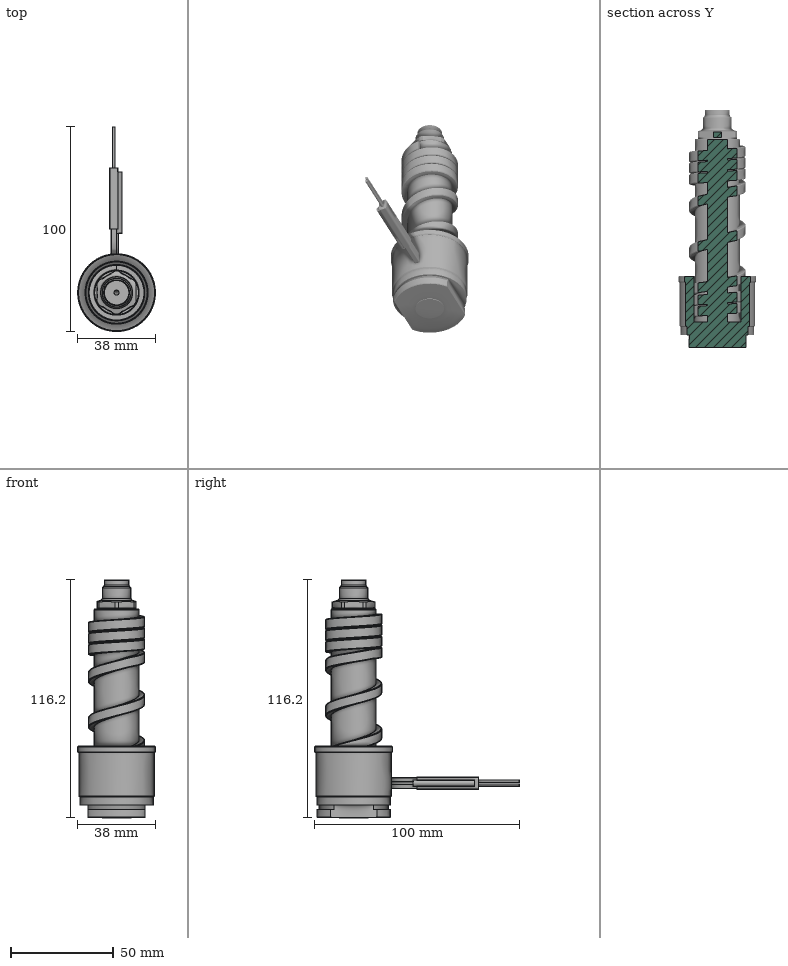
import cadquery as cq
import math

TOTAL_HEIGHT = 116.2
PAD_HEIGHT = 0.3
NUT_TOP_Z = 4.25
GROOVE_TOP_Z = 6.3
COLLAR_TOP_Z = 10.3
FLANGE_BOTTOM_Z = 32.0
CUP_TOP_Z = 35.2
TUBE_TOP_Z = 102.05
HEX_BOTTOM_Z = 102.75
SPIGOT_BOTTOM_Z = 107.2
SPIGOT_TOP_Z = 113.1

PAD_RADIUS = 7.0
NUT_RADIUS = 18.0
NUT_HALF_FLATS = 14.0
GROOVE_RADIUS = 17.0
COLLAR_RADIUS = 18.0
CUP_RADIUS = 18.5
FLANGE_RADIUS = 19.0
BORE_RADIUS = 15.0
BORE_FLOOR_Z = 13.0
CUP_EDGE = 0.4
NUT_EDGE = 0.3

TUBE_RADIUS = 11.0
TUBE_EDGE = 0.3
HEX_ACROSS_FLATS = 19.0
HEX_TURNED_RADIUS = 10.5
HEX_NECK_RADIUS = 9.5
HEX_RIM_Z = 105.5
SPIGOT_RADIUS = 7.0
SPIGOT_FLARE_RADIUS = 7.8
SPIGOT_FLARE_Z = 106.4
SPIGOT_EDGE = 0.6
TIP_RADIUS = 6.0
TIP_FLARE = 0.3
TIP_FLARE_HEIGHT = 0.7
CENTRE_HOLE_RADIUS = 1.2
CENTRE_HOLE_DEPTH = 2.5

COIL_RADIUS = 13.75
COIL_HEIGHT = 5.0
COIL_EDGE = 0.35
COIL_SINK = 0.3
COIL_END_MID_Z = 97.3
TIGHT_PITCH = 5.45
OPEN_PITCH = 22.2
EASED_PITCH = (TIGHT_PITCH + OPEN_PITCH) / 2
COIL_END_ANGLE = 90.0
TOP_TIGHT_ANGLE = 43.0
OPEN_TOP_ANGLE = -64.0
OPEN_BOTTOM_ANGLE = -45.0
BOTTOM_TIGHT_ANGLE = -155.0
TOP_TIGHT_WHOLE_TURNS = 3
OPEN_WHOLE_TURNS = 2
BOTTOM_TIGHT_WHOLE_TURNS = 3

LEAD_Z = 17.05
LEAD_X = -1.35
LEAD_START_Y = 16.5
LEAD_WIDTH = 2.7
LEAD_HEIGHT = 5.4
LEAD_EDGE = 0.5
SLEEVE_START_Y = 31.0
SLEEVE_END_Y = 61.0
SLEEVE_WIDTH = 4.0
SLEEVE_HEIGHT = 5.9
SLEEVE_EDGE = 0.9
WIRE_END_Y = 81.0
WIRE_DIAMETER = 1.3
WIRE_SPACING = 1.9
WIRE_GRIP = 2.0
SENSOR_X = 1.25
SENSOR_SLEEVE_DIAMETER = 3.0
SENSOR_SLEEVE_START_Y = 29.0
SENSOR_SLEEVE_END_Y = 59.0
SENSOR_LEAD_X = 0.25
SENSOR_LEAD_DIAMETER = 1.5


def turned(points):
    """Solid of revolution about Z from an outline of (radius, z) points."""
    return cq.Workplane("XZ").polyline(points).close().revolve(360, (0, 0, 0), (0, 1, 0))


def disc(radius, bottom, top):
    return cq.Workplane("XY").workplane(offset=bottom).circle(radius).extrude(top - bottom)


def make_nut():
    """Grooved bottom nut with two wrench flats facing +X and -X."""
    nut = disc(NUT_RADIUS, PAD_HEIGHT, NUT_TOP_Z).faces("<Z").chamfer(NUT_EDGE)
    nut = nut.union(disc(GROOVE_RADIUS, NUT_TOP_Z, GROOVE_TOP_Z))
    flats = cq.Workplane("XY").box(2 * NUT_HALF_FLATS, 2 * NUT_RADIUS, 2 * GROOVE_TOP_Z)
    return nut.intersect(flats).union(disc(PAD_RADIUS, 0, PAD_HEIGHT))


def make_cup():
    """Flanged cup, open at the top, standing on the nut."""
    step = CUP_RADIUS - COLLAR_RADIUS
    return turned([
        (0, GROOVE_TOP_Z),
        (COLLAR_RADIUS, GROOVE_TOP_Z),
        (COLLAR_RADIUS, COLLAR_TOP_Z),
        (CUP_RADIUS, COLLAR_TOP_Z + step),
        (CUP_RADIUS, FLANGE_BOTTOM_Z),
        (FLANGE_RADIUS - CUP_EDGE, FLANGE_BOTTOM_Z),
        (FLANGE_RADIUS, FLANGE_BOTTOM_Z + CUP_EDGE),
        (FLANGE_RADIUS, CUP_TOP_Z - CUP_EDGE),
        (FLANGE_RADIUS - CUP_EDGE, CUP_TOP_Z),
        (BORE_RADIUS + CUP_EDGE, CUP_TOP_Z),
        (BORE_RADIUS, CUP_TOP_Z - CUP_EDGE),
        (BORE_RADIUS, BORE_FLOOR_Z),
        (0, BORE_FLOOR_Z),
    ])


def make_tube():
    tube = disc(TUBE_RADIUS, BORE_FLOOR_Z, TUBE_TOP_Z).faces(">Z").chamfer(TUBE_EDGE)
    return tube.union(disc(HEX_NECK_RADIUS, TUBE_TOP_Z, HEX_BOTTOM_Z))


def make_hexagon():
    """Hexagon with its corners on the Y axis, turned to a cone on top and a cylinder round the corners."""
    across_corners = HEX_ACROSS_FLATS / math.cos(math.pi / 6)
    prism = (
        cq.Workplane("XY")
        .workplane(offset=HEX_BOTTOM_Z)
        .transformed(rotate=(0, 0, 90))
        .polygon(6, across_corners)
        .extrude(SPIGOT_FLARE_Z - HEX_BOTTOM_Z)
    )
    blank = turned([
        (0, HEX_BOTTOM_Z),
        (HEX_TURNED_RADIUS, HEX_BOTTOM_Z),
        (HEX_TURNED_RADIUS, HEX_RIM_Z),
        (SPIGOT_FLARE_RADIUS, SPIGOT_FLARE_Z),
        (0, SPIGOT_FLARE_Z),
    ])
    return prism.intersect(blank)


def make_tip():
    """Stepped spigot above the hexagon, with a conical centre hole in its end."""
    return turned([
        (0, SPIGOT_FLARE_Z),
        (SPIGOT_FLARE_RADIUS, SPIGOT_FLARE_Z),
        (SPIGOT_RADIUS, SPIGOT_BOTTOM_Z),
        (SPIGOT_RADIUS, SPIGOT_TOP_Z - SPIGOT_EDGE),
        (TIP_RADIUS + TIP_FLARE, SPIGOT_TOP_Z),
        (TIP_RADIUS, SPIGOT_TOP_Z + TIP_FLARE_HEIGHT),
        (TIP_RADIUS, TOTAL_HEIGHT),
        (CENTRE_HOLE_RADIUS, TOTAL_HEIGHT),
        (0, TOTAL_HEIGHT - CENTRE_HOLE_DEPTH),
    ])


def coil_section():
    """Radial cross-section of the coil, its two outer edges chamfered."""
    inner = TUBE_RADIUS - COIL_SINK
    half = COIL_HEIGHT / 2
    return cq.Workplane("XZ").polyline([
        (inner, -half),
        (COIL_RADIUS - COIL_EDGE, -half),
        (COIL_RADIUS, -half + COIL_EDGE),
        (COIL_RADIUS, half - COIL_EDGE),
        (COIL_RADIUS - COIL_EDGE, half),
        (inner, half),
    ]).close()


def coil_stretch(start_angle, start_z, pitch, turns):
    """Right-handed stretch of coil rising from the given angle (degrees) and mid-height."""
    path = cq.Wire.makeHelix(pitch, pitch * turns, COIL_RADIUS)
    stretch = coil_section().sweep(cq.Workplane(path), isFrenet=True)
    return stretch.rotate((0, 0, 0), (0, 0, 1), start_angle).translate((0, 0, start_z))


def make_coil():
    """Coil stretches laid end to end downwards from the top end of the coil."""
    top_tight = TOP_TIGHT_WHOLE_TURNS + (COIL_END_ANGLE - TOP_TIGHT_ANGLE) / 360
    eased_top = (TOP_TIGHT_ANGLE - OPEN_TOP_ANGLE) / 360
    open_middle = OPEN_WHOLE_TURNS + (OPEN_TOP_ANGLE - OPEN_BOTTOM_ANGLE) / 360
    eased_bottom = (OPEN_BOTTOM_ANGLE - BOTTOM_TIGHT_ANGLE) / 360
    bottom_tight = BOTTOM_TIGHT_WHOLE_TURNS + (BOTTOM_TIGHT_ANGLE - COIL_END_ANGLE) / 360
    stretches = [
        (TIGHT_PITCH, top_tight),
        (EASED_PITCH, eased_top),
        (OPEN_PITCH, open_middle),
        (EASED_PITCH, eased_bottom),
        (TIGHT_PITCH, bottom_tight),
    ]
    angle = COIL_END_ANGLE
    z = COIL_END_MID_Z
    pieces = []
    for pitch, turns in stretches:
        angle -= 360 * turns
        z -= pitch * turns
        pieces.append(coil_stretch(angle, z, pitch, turns))
    return pieces


def bar(x, width, height, edge, start_y, end_y):
    """Flat lead or sleeve running along Y, its long edges rounded."""
    length = end_y - start_y
    blank = cq.Workplane("XY").box(width, length, height).edges("|Y").fillet(edge)
    return blank.translate((x, start_y + length / 2, LEAD_Z))


def rod(x, z, diameter, start_y, end_y):
    """Round lead or sleeve running along Y."""
    blank = cq.Workplane("XZ").circle(diameter / 2).extrude(start_y - end_y)
    return blank.translate((x, start_y, z))


def make_leads():
    leads = bar(LEAD_X, LEAD_WIDTH, LEAD_HEIGHT, LEAD_EDGE, LEAD_START_Y, SLEEVE_START_Y)
    leads = leads.union(
        bar(LEAD_X, SLEEVE_WIDTH, SLEEVE_HEIGHT, SLEEVE_EDGE, SLEEVE_START_Y, SLEEVE_END_Y)
    )
    for side in (-1, 1):
        wire_z = LEAD_Z + side * WIRE_SPACING / 2
        leads = leads.union(rod(LEAD_X, wire_z, WIRE_DIAMETER, SLEEVE_END_Y - WIRE_GRIP, WIRE_END_Y))
    leads = leads.union(
        rod(SENSOR_X, LEAD_Z, SENSOR_SLEEVE_DIAMETER, SENSOR_SLEEVE_START_Y, SENSOR_SLEEVE_END_Y)
    )
    return leads.union(
        rod(SENSOR_LEAD_X, LEAD_Z, SENSOR_LEAD_DIAMETER, LEAD_START_Y, SENSOR_SLEEVE_START_Y)
    )


result = make_nut().union(make_cup()).union(make_tube()).union(make_hexagon()).union(make_tip())
for piece in make_coil():
    result = result.union(piece)
result = result.union(make_leads())